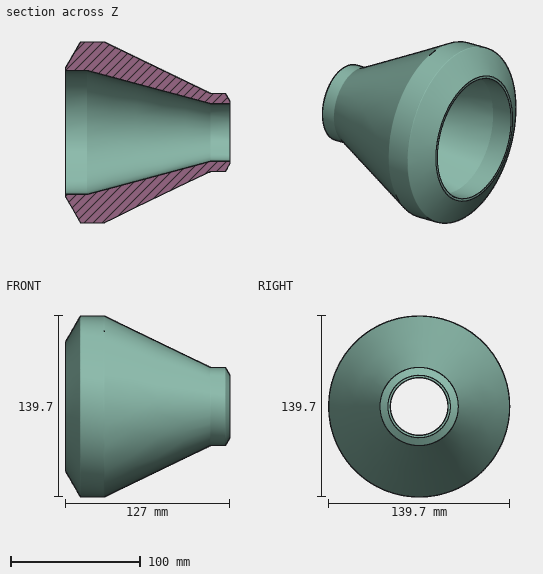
import cadquery as cq
import math

length = 127.0
large_diameter = 139.7
large_bore = 95.3
small_diameter = 60.4
small_bore = 44.3
root_face = 2.0
bevel_angle = 30.0
cone_start = 30.0
cone_end = 112.0
bore_cone_start = 17.0
bore_cone_end = cone_end
edge_radius = 1.0

large_radius = large_diameter / 2
small_radius = small_diameter / 2
large_bore_radius = large_bore / 2
small_bore_radius = small_bore / 2
large_face_radius = large_bore_radius + root_face
small_face_radius = small_bore_radius + root_face
bevel_slope = math.tan(math.radians(bevel_angle))
large_bevel_length = (large_radius - large_face_radius) * bevel_slope
small_bevel_length = (small_radius - small_face_radius) * bevel_slope

wall_section = (
    cq.Workplane("XY")
    .moveTo(0, large_bore_radius)
    .lineTo(0, large_face_radius)
    .lineTo(large_bevel_length, large_radius)
    .lineTo(cone_start, large_radius)
    .lineTo(cone_end, small_radius)
    .lineTo(length - small_bevel_length, small_radius)
    .lineTo(length, small_face_radius)
    .lineTo(length, small_bore_radius)
    .lineTo(bore_cone_end, small_bore_radius)
    .lineTo(bore_cone_start, large_bore_radius)
    .close()
)

reducer = wall_section.revolve(360, (0, 0, 0), (1, 0, 0))

outer_edges = [
    edge
    for edge in reducer.edges("%CIRCLE").vals()
    if any(math.isclose(edge.radius(), radius) for radius in (large_radius, small_radius))
]
result = reducer.newObject(outer_edges).fillet(edge_radius)